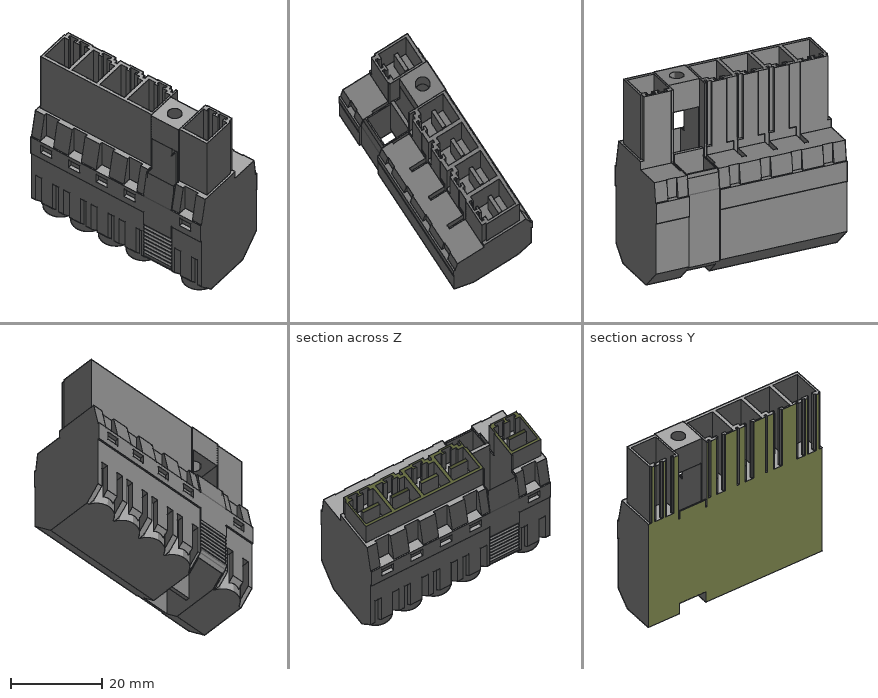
import cadquery as cq
import math


LENGTH = 46.6
DEPTH = 20.6
HEIGHT = 45.0

CELL_COUNT = 6
FLANGE_CELL = 4
END_MARGIN = 0.45
PITCH = (LENGTH - 2 * END_MARGIN) / CELL_COUNT
CONTACT_CELLS = [i for i in range(CELL_COUNT) if i != FLANGE_CELL]
MIDDLE_CELLS = CONTACT_CELLS[1:-1]

SHOULDER_Z = 29.2
REAR_TOP_Z = 27.2
BAND_TOP_Z = 22.42
BAND_BOTTOM_Z = 17.45
FACE_FRONT_Y = 0.33
FACE_REAR_Y = 20.45
SLOPE_TOP_FRONT_Y = 1.72
SLOPE_TOP_REAR_Y = 19.6
SLOPE_BOTTOM_REAR_Y = 20.2
FRONT_CHAMFER = 3.5
REAR_CHAMFER = 5.05

FRONT_NOTCH_WIDTH = 3.55
FRONT_NOTCH_Y = 2.42
REAR_NOTCH_WIDTH = 2.45
REAR_NOTCH_Y = 19.4
BAND_WINDOW_WIDTH = 3.05
BAND_WINDOW_BOTTOM_Z = 19.15
BAND_WINDOW_TOP_Z = 21.4
BAND_WINDOW_DEPTH = 0.95

FUNNEL_FRONT_Y = 1.35
FUNNEL_RADIUS = 3.9
FUNNEL_TOP_Z = 11.05
SLIT_INNER_X = 1.5
SLIT_OUTER_X = 3.12

SHELL_MARGIN = 0.5
SHELL_FRONT_Y = 3.05
SHELL_REAR_Y = 12.7
CORNER_STEP_X = 0.33
CORNER_STEP_Y = 1.03
SOCKET_FLOOR_Z = SHOULDER_Z
SOCKET_FRONT_Y = 3.8
SLOT_NECK_Y = 11.6
SLOT_END_Y = 12.15
SLOT_HEAD_WIDTH = 2.25
SLOT_NECK_WIDTH = 1.3
END_SLOT_OFFSET = 1.45
MIDDLE_SLOT_OFFSET = 0.05

SOCKET_HALF_WIDTH = 3.35
END_SOCKET_LEFT_X = 3.2
SOCKET_BACK_Y = 11.1
INNER_BACK_Y = 11.3
OUTER_BACK_Y = 10.9
END_SOCKET = [
    (-END_SOCKET_LEFT_X, SOCKET_FRONT_Y),
    (SOCKET_HALF_WIDTH, SOCKET_FRONT_Y),
    (SOCKET_HALF_WIDTH, INNER_BACK_Y),
    (END_SLOT_OFFSET, INNER_BACK_Y),
    (END_SLOT_OFFSET, SOCKET_BACK_Y),
    (-END_SLOT_OFFSET, SOCKET_BACK_Y),
    (-END_SLOT_OFFSET, OUTER_BACK_Y),
    (-END_SOCKET_LEFT_X, OUTER_BACK_Y),
]
RELIEF_END_X = -1.65
CODING_STEP_X = 2.0
CODING_BACK_Y = 10.4
MIDDLE_SOCKET = [
    (-SOCKET_HALF_WIDTH, SOCKET_FRONT_Y),
    (SOCKET_HALF_WIDTH, SOCKET_FRONT_Y),
    (SOCKET_HALF_WIDTH, CODING_BACK_Y),
    (CODING_STEP_X, CODING_BACK_Y),
    (CODING_STEP_X, SOCKET_BACK_Y),
    (RELIEF_END_X, SOCKET_BACK_Y),
    (RELIEF_END_X, SLOT_NECK_Y),
    (-SOCKET_HALF_WIDTH, SLOT_NECK_Y),
]

CODING_MIDDLE_X = 2.85
CODING_SHALLOW_Y = 12.0
CODING_DEEP_Y = 11.3
RELIEF_Y = 12.5
GROOVE_HALF_WIDTH = 0.5
GROOVE_REAR_Y = 16.8
GROOVE_DEPTH = 3.75

FLANGE_LEFT_X = END_MARGIN + FLANGE_CELL * PITCH
FLANGE_RIGHT_X = FLANGE_LEFT_X + PITCH
CHEEK = 0.3
FLANGE_TOP_Z = 28.8
FLANGE_SLOPE_TOP_Y = 1.15
FLANGE_REAR_Y = 19.95
FLANGE_REAR_SLOPE_Y = 19.45
FLANGE_REAR_TOP_Z = 26.95
FLANGE_REAR_CHAMFER_Y = 0.55
FLANGE_REAR_CHAMFER_Z = 0.7
FLANGE_BOTTOM_Z = 2.9
CAVITY_REAR_Y = 18.55
WEB_FRONT_Y = 11.65
WEB_REAR_Y = 12.5
WEB_TOP_Z = 29.0
BLOCK_FRONT_Y = 2.75
BLOCK_REAR_Y = 10.0
BLOCK_BOTTOM_Z = 38.0
BLOCK_TOP_Z = 44.95
SCREW_HOLE_DIAMETER = 3.2
SCREW_HOLE_Y = 6.4
LEVER_ROUND_TOP_Z = 4.48
LEVER_ROUND_RADIUS = 1.1
LEVER_CHAMFER_ANGLE = math.radians(45)

GRIP_GROOVE_COUNT = 8
GRIP_TOP_Z = 13.7
GRIP_BOTTOM_Z = 5.0
GRIP_PITCH = (GRIP_TOP_Z - GRIP_BOTTOM_Z) / GRIP_GROOVE_COUNT
GRIP_LAND = 0.15
GRIP_HALF_WIDTH = (GRIP_PITCH - GRIP_LAND) / 2
GRIP_FLANK = 0.33
FLANK_ANGLE = math.radians(45)

BLADE_WIDTH = 4.45
BLADE_THICKNESS = 0.9
BLADE_Y = 7.1
BLADE_HEIGHT = 11.2


def cell_center(cell):
    return END_MARGIN + (cell + 0.5) * PITCH


def box(x0, x1, y0, y1, z0, z1):
    return cq.Workplane("XY").box(x1 - x0, y1 - y0, z1 - z0, centered=False).translate((x0, y0, z0))


def prism(outline, z0, z1):
    return cq.Workplane("XY").workplane(offset=z0).polyline(outline).close().extrude(z1 - z0)


def lower_body(x0, x1):
    section = [
        (FACE_FRONT_Y + FRONT_CHAMFER, 0),
        (FACE_REAR_Y - REAR_CHAMFER, 0),
        (FACE_REAR_Y, REAR_CHAMFER),
        (FACE_REAR_Y, BAND_BOTTOM_Z),
        (DEPTH, BAND_BOTTOM_Z),
        (DEPTH, BAND_TOP_Z),
        (SLOPE_BOTTOM_REAR_Y, BAND_TOP_Z),
        (SLOPE_TOP_REAR_Y, REAR_TOP_Z),
        (SHELL_REAR_Y, REAR_TOP_Z),
        (SHELL_REAR_Y, SHOULDER_Z),
        (SLOPE_TOP_FRONT_Y, SHOULDER_Z),
        (FACE_FRONT_Y, BAND_TOP_Z),
        (0, BAND_TOP_Z),
        (0, BAND_BOTTOM_Z),
        (FACE_FRONT_Y, BAND_BOTTOM_Z),
        (FACE_FRONT_Y, FRONT_CHAMFER),
    ]
    return cq.Workplane("YZ").workplane(offset=x0).polyline(section).close().extrude(x1 - x0)


def notches(cell):
    x = cell_center(cell)
    front = FRONT_NOTCH_WIDTH / 2
    rear = REAR_NOTCH_WIDTH / 2
    window = BAND_WINDOW_WIDTH / 2
    cut = box(x - front, x + front, 0, FRONT_NOTCH_Y, BAND_TOP_Z, SHOULDER_Z)
    cut = cut.union(box(x - rear, x + rear, REAR_NOTCH_Y, DEPTH, BAND_TOP_Z, REAR_TOP_Z))
    return cut.union(
        box(x - window, x + window, 0, BAND_WINDOW_DEPTH, BAND_WINDOW_BOTTOM_Z, BAND_WINDOW_TOP_Z)
    )


def wire_funnel(cell):
    return (
        cq.Workplane("XY")
        .center(cell_center(cell), FUNNEL_FRONT_Y + FUNNEL_RADIUS)
        .circle(FUNNEL_RADIUS)
        .extrude(FUNNEL_TOP_Z)
    )


def funnel_slits(cell):
    x = cell_center(cell)
    slit_rear_y = FUNNEL_FRONT_Y + FUNNEL_RADIUS
    left = box(x - SLIT_OUTER_X, x - SLIT_INNER_X, 0, slit_rear_y, 0, FUNNEL_TOP_Z)
    right = box(x + SLIT_INNER_X, x + SLIT_OUTER_X, 0, slit_rear_y, 0, FUNNEL_TOP_Z)
    return left.union(right)


def t_slot(x):
    neck = SLOT_NECK_WIDTH / 2
    head = SLOT_HEAD_WIDTH / 2
    slot = box(x - neck, x + neck, SOCKET_FRONT_Y, SLOT_NECK_Y, SOCKET_FLOOR_Z, HEIGHT)
    return slot.union(box(x - head, x + head, SLOT_NECK_Y, SLOT_END_Y, SOCKET_FLOOR_Z, HEIGHT))


def socket(cell):
    """Cavity for one contact; the last cell mirrors the first."""
    center = cell_center(cell)
    if cell in MIDDLE_CELLS:
        outline = MIDDLE_SOCKET
        slot_offsets = [MIDDLE_SLOT_OFFSET]
        side = 1
    else:
        outline = END_SOCKET
        slot_offsets = [-END_SLOT_OFFSET, END_SLOT_OFFSET]
        side = 1 if cell == 0 else -1
    cavity = prism([(center + side * x, y) for x, y in outline], SOCKET_FLOOR_Z, HEIGHT)
    for offset in slot_offsets:
        cavity = cavity.union(t_slot(center + offset))
    return cavity


def coding_recess(cell):
    """Stepped recess at the rear right corner of a middle shell and the relief at its left."""
    x = cell_center(cell)
    right = x + SOCKET_HALF_WIDTH
    cut = box(x + CODING_STEP_X, right, CODING_SHALLOW_Y, SHELL_REAR_Y, SHOULDER_Z, HEIGHT)
    cut = cut.union(
        box(x + CODING_MIDDLE_X, right, CODING_DEEP_Y, SHELL_REAR_Y, SHOULDER_Z, HEIGHT)
    )
    return cut.union(
        box(x - PITCH / 2, x + RELIEF_END_X, RELIEF_Y, SHELL_REAR_Y, SHOULDER_Z, HEIGHT)
    )


def boundary_groove(boundary):
    """Slot behind the shells, centred on the line between two cells."""
    x = END_MARGIN + boundary * PITCH
    return box(
        x - GROOVE_HALF_WIDTH, x + GROOVE_HALF_WIDTH,
        RELIEF_Y, GROOVE_REAR_Y, REAR_TOP_Z - GROOVE_DEPTH, HEIGHT,
    )


def corner_step(x):
    return box(
        x - CORNER_STEP_X, x + CORNER_STEP_X,
        SHELL_REAR_Y - CORNER_STEP_Y, SHELL_REAR_Y, SHOULDER_Z, HEIGHT,
    )


def contact_section():
    """Both runs of contact cells, left and right of the flange."""
    shell_right_x = LENGTH - SHELL_MARGIN
    section = lower_body(0, FLANGE_LEFT_X).union(lower_body(FLANGE_RIGHT_X, LENGTH))
    for x0, x1 in [(SHELL_MARGIN, FLANGE_LEFT_X), (FLANGE_RIGHT_X, shell_right_x)]:
        section = section.union(box(x0, x1, SHELL_FRONT_Y, SHELL_REAR_Y, REAR_TOP_Z, HEIGHT))
    for cell in CONTACT_CELLS:
        funnel = wire_funnel(cell)
        section = section.cut(funnel_slits(cell).cut(funnel)).union(funnel)
        section = section.cut(notches(cell)).cut(socket(cell))
    for cell in MIDDLE_CELLS:
        section = section.cut(coding_recess(cell))
    for boundary in range(1, CELL_COUNT):
        section = section.cut(boundary_groove(boundary))
    for x in [SHELL_MARGIN, shell_right_x]:
        section = section.cut(corner_step(x))
    return section


def flange_body():
    """Full-depth flange profile with a rounded lower front edge above a 45 degree chamfer."""
    r = LEVER_ROUND_RADIUS
    end_angle = LEVER_CHAMFER_ANGLE
    mid_angle = end_angle / 2
    round_mid = (r - r * math.cos(mid_angle), LEVER_ROUND_TOP_Z - r * math.sin(mid_angle))
    round_end = (r - r * math.cos(end_angle), LEVER_ROUND_TOP_Z - r * math.sin(end_angle))
    chamfer_bottom_y = round_end[0] + round_end[1]
    rear_chamfer_z = REAR_CHAMFER - (FACE_REAR_Y - FLANGE_REAR_Y)
    return (
        cq.Workplane("YZ").workplane(offset=FLANGE_LEFT_X)
        .moveTo(FLANGE_SLOPE_TOP_Y, FLANGE_TOP_Z)
        .lineTo(0, BAND_TOP_Z)
        .lineTo(0, LEVER_ROUND_TOP_Z)
        .threePointArc(round_mid, round_end)
        .lineTo(chamfer_bottom_y, 0)
        .lineTo(FACE_REAR_Y - REAR_CHAMFER, 0)
        .lineTo(FLANGE_REAR_Y, rear_chamfer_z)
        .lineTo(FLANGE_REAR_Y, BAND_TOP_Z)
        .lineTo(FLANGE_REAR_SLOPE_Y, FLANGE_REAR_TOP_Z - FLANGE_REAR_CHAMFER_Z)
        .lineTo(FLANGE_REAR_SLOPE_Y - FLANGE_REAR_CHAMFER_Y, FLANGE_REAR_TOP_Z)
        .lineTo(BLOCK_REAR_Y, FLANGE_REAR_TOP_Z)
        .lineTo(BLOCK_REAR_Y, FLANGE_TOP_Z)
        .close()
        .extrude(PITCH)
    )


def grip_groove(index):
    """Horizontal groove with 45 degree flanks and a rounded bottom tangent to them."""
    z = GRIP_TOP_Z - GRIP_HALF_WIDTH - index * GRIP_PITCH
    round_half_width = GRIP_HALF_WIDTH - GRIP_FLANK
    bottom_y = GRIP_FLANK + round_half_width * math.tan(FLANK_ANGLE / 2)
    return (
        cq.Workplane("YZ").workplane(offset=FLANGE_LEFT_X)
        .moveTo(0, z - GRIP_HALF_WIDTH)
        .lineTo(GRIP_FLANK, z - round_half_width)
        .threePointArc((bottom_y, z), (GRIP_FLANK, z + round_half_width))
        .lineTo(0, z + GRIP_HALF_WIDTH)
        .close()
        .extrude(PITCH)
    )


def flange_section():
    """Hollow cell with a screw block on top, an inner web and a ribbed front plate."""
    inner_left = FLANGE_LEFT_X + CHEEK
    inner_right = FLANGE_RIGHT_X - CHEEK
    tower = box(FLANGE_LEFT_X, FLANGE_RIGHT_X, BLOCK_FRONT_Y, BLOCK_REAR_Y, FLANGE_REAR_TOP_Z, BLOCK_TOP_Z)
    cavity = box(inner_left, inner_right, FLANGE_SLOPE_TOP_Y, CAVITY_REAR_Y, 0, BLOCK_BOTTOM_Z)
    gap = box(inner_left, inner_right, 0, DEPTH, 0, FLANGE_BOTTOM_Z)
    web = box(inner_left, inner_right, WEB_FRONT_Y, WEB_REAR_Y, FLANGE_BOTTOM_Z, WEB_TOP_Z)
    screw_hole = (
        cq.Workplane("XY").workplane(offset=BLOCK_BOTTOM_Z)
        .center(cell_center(FLANGE_CELL), SCREW_HOLE_Y)
        .circle(SCREW_HOLE_DIAMETER / 2)
        .extrude(BLOCK_TOP_Z - BLOCK_BOTTOM_Z)
    )
    section = flange_body().union(tower).cut(cavity).cut(gap).cut(screw_hole)
    for index in range(GRIP_GROOVE_COUNT):
        section = section.cut(grip_groove(index))
    return section.union(web)


def contact_blade(cell):
    """Flat blade standing on the floor of its socket."""
    return (
        cq.Workplane("XY").workplane(offset=SOCKET_FLOOR_Z)
        .center(cell_center(cell), BLADE_Y)
        .rect(BLADE_WIDTH, BLADE_THICKNESS)
        .extrude(BLADE_HEIGHT)
    )


housing = contact_section().union(flange_section()).clean()
blades = [contact_blade(cell).val() for cell in CONTACT_CELLS]

result = cq.Compound.makeCompound([*housing.vals(), *blades])